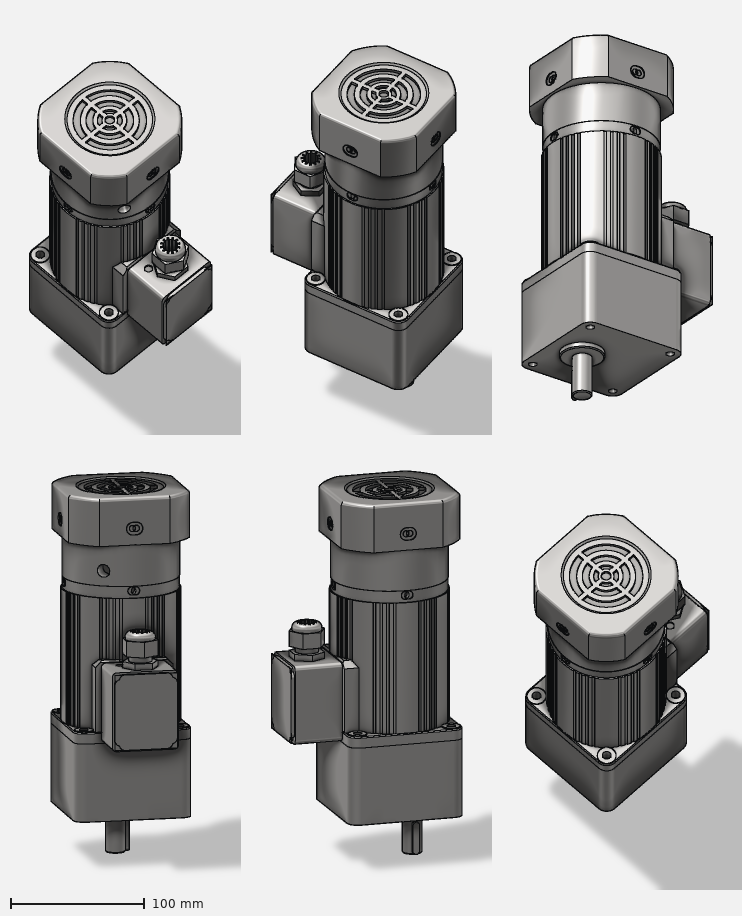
import cadquery as cq
import math


OVERALL_HEIGHT = 283.0
BOSS_BOTTOM_Z = 32.3
GEARBOX_BOTTOM_Z = 36.5
FLANGE_BOTTOM_Z = 96.2
STATOR_BOTTOM_Z = 104.7
STATOR_TOP_Z = 205.7
COVER_BOTTOM_Z = 246.8

FRAME_SIZE = 90.0
FRAME_CORNER_RADIUS = 8.5
MOUNT_HOLE_OFFSET = 36.8
MOUNT_HOLE_DIAMETER = 6.5
FLANGE_EDGE_CHAMFER = 0.8
PAD_DIAMETER = 14.2
PAD_HEIGHT = 0.8

SHAFT_X = -17.8
SHAFT_RADIUS = 7.5
SHAFT_CHAMFER = 0.8
BOSS_RADIUS = 17.0
BOSS_CHAMFER = 0.8
KEY_WIDTH = 5.0
KEY_LENGTH = 25.2
KEY_BOTTOM_Z = 0.5
KEY_OUTER_Y = 10.2

STATOR_RADIUS = FRAME_SIZE / 2
GROOVE_GROUPS = 8
GROOVES_PER_GROUP = 4
GROOVE_PITCH_ANGLE = 6.5
GROOVE_WIDTH = 2.0
GROOVE_DEPTH = 0.5

SHIELD_RADIUS = 44.1
SHIELD_TOP_Z = 252.0
SPIGOT_STEP = 0.3
SPIGOT_RADIUS = SHIELD_RADIUS - SPIGOT_STEP
SPIGOT_HEIGHT = 9.0
SHIELD_SCREW_Z = 211.0
SHIELD_SCREW_DIAMETER = 6.2
SHIELD_SCREW_SHIFT = 1.5
SHIELD_SCREW_RECESS = 1.0
SHIELD_SCREW_DEPTH = 5.7
CABLE_HOLE_DIAMETER = 9.5
CABLE_HOLE_Z = 226.5
CABLE_HOLE_ANGLE = -30
CABLE_HOLE_DEPTH = 14.2

COVER_SIZE = 93.0
COVER_CORNER_DIAMETER = 107.8
COVER_EDGE_FILLET = 2.8
COVER_TOP_THICKNESS = 6.2
COVER_SCREW_Z = 259.2
COVER_SCREW_DIAMETER = 4.8
COVER_SCREW_SHIFT = 1.5
COVER_SCREW_RECESS = 1.5
COVER_SCREW_DEPTH = 5.7
COVER_RECESS_DIAMETER = 9.5
COVER_RECESS_LENGTH = 12.5
COVER_RECESS_DEPTH = 0.8
GRILLE_TOP_RADIUS = 33.7
GRILLE_FLOOR_RADIUS = 32.0
GRILLE_DEPTH = 1.0
GRILLE_SLOT_DEPTH = 2.3
GRILLE_SLOT_RADII = [(6.0, 9.3), (12.7, 17.8), (22.0, 27.5)]
GRILLE_HUB_RADIUS = 3.7
GRILLE_SPOKE_WIDTH = 3.7

BOX_WIDTH = 50.7
BOX_BOTTOM_Z = 97.0
BOX_TOP_Z = 157.3
BOX_OUTER_X = 82.0
BOX_EDGE_FILLET = 3.5
SADDLE_WIDTH = 59.7
SADDLE_TOP_Z = 159.3
SADDLE_CHAMFER = 5.0
SADDLE_END_CHAMFER = 1.5
LID_OUTER_X = 85.05
LID_INSET = 1.5
LID_PLATE_THICKNESS = 0.5
LID_NOTCH = 3.5
LID_NOTCH_FILLET = 4.2
VENT_X = 55.0
VENT_Y = -13.0
VENT_DIAMETER = 6.2
VENT_DEPTH = 1.5

GLAND_X = 64.8
LOCKNUT_FLATS = 23.5
LOCKNUT_TURN = 30
LOCKNUT_HEIGHT = 4.8
NECK_RADIUS = 8.8
NECK_HEIGHT = 4.8
CAP_CORNERS = 28.0
CAP_HEIGHT = 12.0
DOME_RADIUS = 11.3
DOME_HEIGHT = 6.0
DOME_FILLET = 4.2
CLAMP_NOTCHES = 12
CLAMP_NOTCH_RADIUS = 7.4
CLAMP_NOTCH_WIDTH = 1.0
CABLE_BORE_RADIUS = 5.5
CABLE_BORE_DEPTH = 17.0


def cylinder(radius, bottom_z, top_z, x=0, y=0):
    return cq.Workplane("XY").center(x, y).circle(radius).extrude(top_z - bottom_z).translate((0, 0, bottom_z))


def frame_block(bottom_z, top_z):
    """Square block with rounded upright corners."""
    block = cq.Workplane("XY").rect(FRAME_SIZE, FRAME_SIZE).extrude(top_z - bottom_z)
    return block.edges("|Z").fillet(FRAME_CORNER_RADIUS).translate((0, 0, bottom_z))


def mount_cylinders(diameter, bottom_z, top_z):
    """Four upright cylinders at the mounting hole centres."""
    spacing = 2 * MOUNT_HOLE_OFFSET
    centres = cq.Workplane("XY").workplane(offset=bottom_z).rect(spacing, spacing, forConstruction=True)
    return centres.vertices().circle(diameter / 2).extrude(top_z - bottom_z)


def crossed_screw_hole(diameter, shift, outer_radius, z, recess_depth, lens_depth):
    """Figure-eight recess on the -Y side whose lens-shaped overlap goes deeper."""

    def round_hole(x, depth):
        return cq.Workplane("XZ", origin=(x, -outer_radius, z)).circle(diameter / 2).extrude(-depth)

    recess = round_hole(-shift, recess_depth).union(round_hole(shift, recess_depth))
    lens = round_hole(-shift, lens_depth).intersect(round_hole(shift, lens_depth))
    return recess.union(lens)


def four_around_z(tool):
    copies = tool
    for quarter in range(1, 4):
        copies = copies.union(tool.rotate((0, 0, 0), (0, 0, 1), 90 * quarter))
    return copies


def make_gearbox():
    """Gear housing with its offset bearing boss, output shaft and shaft key."""
    housing = frame_block(GEARBOX_BOTTOM_Z, FLANGE_BOTTOM_Z)
    housing = housing.cut(mount_cylinders(MOUNT_HOLE_DIAMETER, GEARBOX_BOTTOM_Z, FLANGE_BOTTOM_Z))
    boss = cylinder(BOSS_RADIUS, BOSS_BOTTOM_Z, GEARBOX_BOTTOM_Z, SHAFT_X)
    boss = boss.faces("<Z").chamfer(BOSS_CHAMFER)
    shaft = cylinder(SHAFT_RADIUS, 0, BOSS_BOTTOM_Z, SHAFT_X)
    shaft = shaft.faces("<Z").chamfer(SHAFT_CHAMFER)
    key_centre_z = KEY_BOTTOM_Z + KEY_LENGTH / 2
    key = cq.Workplane("XZ", origin=(SHAFT_X, 0, key_centre_z)).slot2D(KEY_LENGTH, KEY_WIDTH, 90)
    return housing.union(boss).union(shaft).union(key.extrude(-KEY_OUTER_Y))


def make_flange():
    """Square motor flange with a low pad around each mounting hole."""
    flange = frame_block(FLANGE_BOTTOM_Z, STATOR_BOTTOM_Z)
    flange = flange.faces(">Z").chamfer(FLANGE_EDGE_CHAMFER)
    pad_top_z = STATOR_BOTTOM_Z + PAD_HEIGHT
    pads = mount_cylinders(PAD_DIAMETER, STATOR_BOTTOM_Z, pad_top_z)
    pads = pads.cut(cylinder(STATOR_RADIUS, STATOR_BOTTOM_Z, pad_top_z))
    return flange.union(pads).cut(mount_cylinders(MOUNT_HOLE_DIAMETER, FLANGE_BOTTOM_Z, pad_top_z))


def make_stator():
    """Round stator body with groups of narrow upright grooves."""
    stator = cylinder(STATOR_RADIUS, STATOR_BOTTOM_Z, STATOR_TOP_Z)
    height = STATOR_TOP_Z - STATOR_BOTTOM_Z
    bar = cq.Workplane("XY").rect(2 * GROOVE_DEPTH, GROOVE_WIDTH).extrude(height)
    bar = bar.translate((STATOR_RADIUS, 0, STATOR_BOTTOM_Z))
    group_angle = 360 / GROOVE_GROUPS
    first_groove_angle = (group_angle - (GROOVES_PER_GROUP - 1) * GROOVE_PITCH_ANGLE) / 2
    for group in range(GROOVE_GROUPS):
        for index in range(GROOVES_PER_GROUP):
            angle = group * group_angle + first_groove_angle + index * GROOVE_PITCH_ANGLE
            stator = stator.cut(bar.rotate((0, 0, 0), (0, 0, 1), angle))
    return stator


def make_end_shield():
    """Round end shield standing on the stator and plugging into the fan cover."""
    shield = cylinder(SPIGOT_RADIUS, STATOR_TOP_Z, STATOR_TOP_Z + SPIGOT_HEIGHT)
    shield = shield.union(cylinder(SHIELD_RADIUS, STATOR_TOP_Z + SPIGOT_HEIGHT, SHIELD_TOP_Z))
    screw_hole = crossed_screw_hole(
        diameter=SHIELD_SCREW_DIAMETER,
        shift=SHIELD_SCREW_SHIFT,
        outer_radius=SPIGOT_RADIUS,
        z=SHIELD_SCREW_Z,
        recess_depth=SHIELD_SCREW_RECESS,
        lens_depth=SHIELD_SCREW_DEPTH,
    )
    shield = shield.cut(four_around_z(screw_hole))
    cable_hole = cq.Workplane("YZ", origin=(SHIELD_RADIUS, 0, CABLE_HOLE_Z)).circle(CABLE_HOLE_DIAMETER / 2)
    cable_hole = cable_hole.extrude(CABLE_HOLE_DEPTH, both=True)
    return shield.cut(cable_hole.rotate((0, 0, 0), (0, 0, 1), CABLE_HOLE_ANGLE))


def make_grille_slots(bottom_z, top_z):
    """Cutter for the round hub recess and the ring slots between the four spokes."""
    slots = cylinder(GRILLE_HUB_RADIUS, bottom_z, top_z)
    height = top_z - bottom_z
    spokes = cq.Workplane("XY").rect(COVER_SIZE, GRILLE_SPOKE_WIDTH).extrude(height)
    spokes = spokes.union(spokes.rotate((0, 0, 0), (0, 0, 1), 90)).translate((0, 0, bottom_z))
    for inner_radius, outer_radius in GRILLE_SLOT_RADII:
        ring = cylinder(outer_radius, bottom_z, top_z).cut(cylinder(inner_radius, bottom_z, top_z))
        slots = slots.union(ring.cut(spokes))
    return slots


def make_fan_cover():
    """Hollow square cover with rounded corners and a sunken round grille on top."""
    height = OVERALL_HEIGHT - COVER_BOTTOM_Z
    cover = cq.Workplane("XY").rect(COVER_SIZE, COVER_SIZE).extrude(height).translate((0, 0, COVER_BOTTOM_Z))
    cover = cover.intersect(cylinder(COVER_CORNER_DIAMETER / 2, COVER_BOTTOM_Z, OVERALL_HEIGHT))
    cover = cover.faces(">Z").edges().fillet(COVER_EDGE_FILLET)
    cover = cover.cut(cylinder(SHIELD_RADIUS, COVER_BOTTOM_Z, OVERALL_HEIGHT - COVER_TOP_THICKNESS))

    dish = cq.Workplane("XY").workplane(offset=OVERALL_HEIGHT).circle(GRILLE_TOP_RADIUS)
    dish = dish.workplane(offset=-GRILLE_DEPTH).circle(GRILLE_FLOOR_RADIUS).loft()
    grille_floor_z = OVERALL_HEIGHT - GRILLE_DEPTH
    cover = cover.cut(dish).cut(make_grille_slots(grille_floor_z - GRILLE_SLOT_DEPTH, grille_floor_z))

    side_y = COVER_SIZE / 2
    recess = cq.Workplane("XZ", origin=(0, -side_y, COVER_SCREW_Z))
    recess = recess.slot2D(COVER_RECESS_LENGTH, COVER_RECESS_DIAMETER).extrude(-COVER_RECESS_DEPTH)
    screw_hole = crossed_screw_hole(
        diameter=COVER_SCREW_DIAMETER,
        shift=COVER_SCREW_SHIFT,
        outer_radius=side_y,
        z=COVER_SCREW_Z,
        recess_depth=COVER_SCREW_RECESS,
        lens_depth=COVER_SCREW_DEPTH,
    )
    return cover.cut(four_around_z(recess.union(screw_hole)))


def make_terminal_box():
    """Terminal box on a chamfered saddle that hugs the stator, with a thin lid on the far end."""
    height = BOX_TOP_Z - BOX_BOTTOM_Z
    middle_z = (BOX_TOP_Z + BOX_BOTTOM_Z) / 2
    inner_x = FRAME_SIZE / 2
    box = cq.Workplane("YZ", origin=(inner_x, 0, middle_z)).rect(BOX_WIDTH, height)
    box = box.extrude(BOX_OUTER_X - inner_x).edges("|X").fillet(BOX_EDGE_FILLET)

    saddle_height = SADDLE_TOP_Z - STATOR_BOTTOM_Z
    saddle = cq.Workplane("XY").box(inner_x, SADDLE_WIDTH, saddle_height, centered=(False, True, False))
    saddle = saddle.faces(">Z").edges("|X").chamfer(SADDLE_CHAMFER)
    saddle = saddle.faces(">Z").edges(">X").chamfer(SADDLE_END_CHAMFER)
    saddle = saddle.translate((0, 0, STATOR_BOTTOM_Z))
    saddle = saddle.cut(cylinder(STATOR_RADIUS, STATOR_BOTTOM_Z, SADDLE_TOP_Z))
    saddle = saddle.cut(mount_cylinders(PAD_DIAMETER, STATOR_BOTTOM_Z, STATOR_BOTTOM_Z + PAD_HEIGHT))

    lid_width = BOX_WIDTH - 2 * LID_INSET
    lid_height = height - 2 * LID_INSET
    plate_x = LID_OUTER_X - LID_PLATE_THICKNESS
    lid_plate = cq.Workplane("YZ", origin=(plate_x, 0, middle_z)).rect(lid_width, lid_height)
    lid_plate = lid_plate.extrude(LID_PLATE_THICKNESS)
    rim = cq.Workplane("YZ", origin=(BOX_OUTER_X, 0, middle_z))
    tall_rim = rim.rect(lid_width - 2 * LID_NOTCH, lid_height).extrude(plate_x - BOX_OUTER_X)
    wide_rim = rim.rect(lid_width, lid_height - 2 * LID_NOTCH).extrude(plate_x - BOX_OUTER_X)
    tall_rim = tall_rim.edges("|X").fillet(LID_NOTCH_FILLET)
    wide_rim = wide_rim.edges("|X").fillet(LID_NOTCH_FILLET)
    lid = lid_plate.union(tall_rim).union(wide_rim)
    vent = cylinder(VENT_DIAMETER / 2, BOX_TOP_Z - VENT_DEPTH, BOX_TOP_Z, VENT_X, VENT_Y)
    return box.union(saddle).union(lid).cut(vent)


def make_cable_gland():
    """Cable gland: locknut, neck, hexagonal cap and a rounded mouth with a notched bore."""
    base = cq.Workplane("XY").workplane(offset=BOX_TOP_Z).center(GLAND_X, 0)
    locknut = base.polygon(6, LOCKNUT_FLATS / math.cos(math.pi / 6)).extrude(LOCKNUT_HEIGHT)
    locknut = locknut.rotate((GLAND_X, 0, 0), (GLAND_X, 0, 1), LOCKNUT_TURN)
    neck_z = BOX_TOP_Z + LOCKNUT_HEIGHT
    cap_z = neck_z + NECK_HEIGHT
    dome_z = cap_z + CAP_HEIGHT
    top_z = dome_z + DOME_HEIGHT
    neck = cylinder(NECK_RADIUS, neck_z, cap_z, GLAND_X)
    cap = cq.Workplane("XY").workplane(offset=cap_z).center(GLAND_X, 0).polygon(6, CAP_CORNERS)
    cap = cap.extrude(CAP_HEIGHT)
    dome = cylinder(DOME_RADIUS, dome_z, top_z, GLAND_X).faces(">Z").edges().fillet(DOME_FILLET)
    gland = locknut.union(neck).union(cap).union(dome)
    bore_bottom_z = top_z - CABLE_BORE_DEPTH
    gland = gland.cut(cylinder(CABLE_BORE_RADIUS, bore_bottom_z, top_z, GLAND_X))
    notch = cq.Workplane("XY").rect(CLAMP_NOTCH_RADIUS, CLAMP_NOTCH_WIDTH).extrude(CABLE_BORE_DEPTH)
    notch = notch.translate((GLAND_X + CLAMP_NOTCH_RADIUS / 2, 0, bore_bottom_z))
    for index in range(CLAMP_NOTCHES):
        gland = gland.cut(notch.rotate((GLAND_X, 0, 0), (GLAND_X, 0, 1), index * 360 / CLAMP_NOTCHES))
    return gland


gearbox = make_gearbox()
flange = make_flange()
stator = make_stator()
end_shield = make_end_shield()
fan_cover = make_fan_cover()
terminal_box = make_terminal_box()
cable_gland = make_cable_gland()

result = cq.Compound.makeCompound([
    gearbox.val(),
    flange.val(),
    stator.val(),
    end_shield.val(),
    fan_cover.val(),
    terminal_box.val(),
    cable_gland.val(),
])